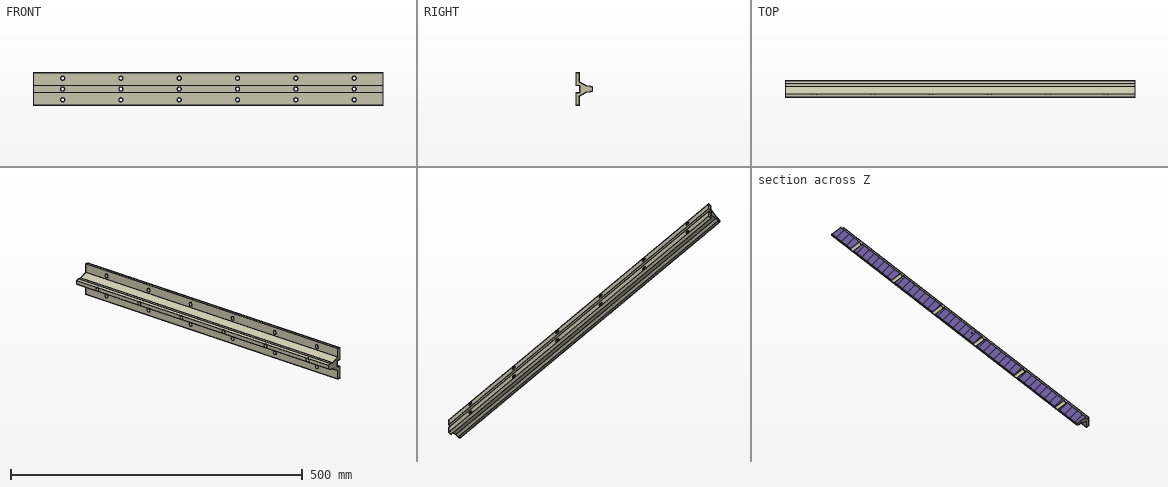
import cadquery as cq

rail_length = 599.5
rail_depth = 28.56
rail_height = 56.0

flange_thickness = 5.75
slot_depth = 6.5
slot_half_height = 6.0
web_half_height = 5.5
flare_start_depth = 18.3
flare_end_half_height = 12.5
nose_chamfer_depth = 4.5
nose_chamfer_drop = 2.2

hole_diameter = 6.6
hole_pitch = 100.0
holes_per_row = 6
first_hole_distance = 50.0
flange_row_height = 18.5


def rail_body():
    """Constant section: two flat flanges flaring into a web with a chamfered nose."""
    upper_outline = [
        (slot_depth, slot_half_height),
        (0, slot_half_height),
        (0, rail_height / 2),
        (flange_thickness, rail_height / 2),
        (flange_thickness, flare_end_half_height),
        (flare_start_depth, web_half_height),
        (rail_depth - nose_chamfer_depth, web_half_height),
        (rail_depth, web_half_height - nose_chamfer_drop),
    ]
    lower_outline = [(y, -z) for y, z in reversed(upper_outline)]
    section = cq.Workplane("YZ", origin=(-rail_length / 2, 0, 0)).polyline(upper_outline + lower_outline)
    return section.close().extrude(rail_length)


def hole_row(row_height):
    """Cutters for one row of holes running along Y through the whole rail."""
    first_hole_x = first_hole_distance - rail_length / 2
    centres = [(first_hole_x + index * hole_pitch, row_height) for index in range(holes_per_row)]
    return cq.Workplane("XZ").pushPoints(centres).circle(hole_diameter / 2).extrude(-rail_depth)


result = rail_body()
for row_height in (-flange_row_height, 0, flange_row_height):
    result = result.cut(hole_row(row_height))